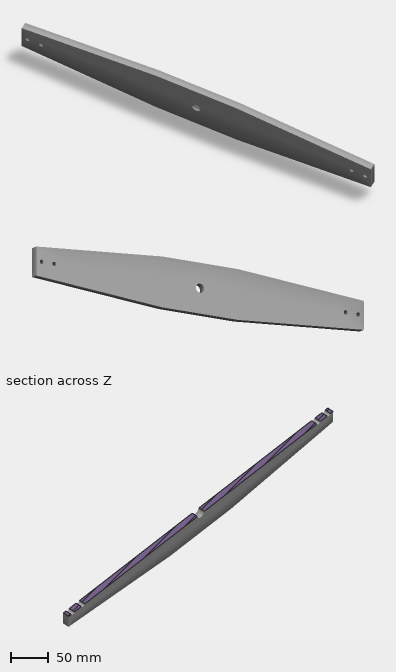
import cadquery as cq

thickness = 10.0
middle_height = 69.85
end_height = 39.9
middle_length = 120.0
overall_length = 518.88

pivot_diameter = 12.7
end_hole_diameter = 6.0
outer_hole_x = 250.8
end_hole_spacing = 20.0

half_middle_height = middle_height / 2
half_end_height = end_height / 2
half_middle_length = middle_length / 2
half_length = overall_length / 2

inner_hole_x = outer_hole_x - end_hole_spacing
end_hole_positions = [side * x for side in (-1, 1) for x in (inner_hole_x, outer_hole_x)]


def tapered_plate():
    """Flat bar in the XZ plane, parallel in the middle and tapering to both ends."""
    outline = [
        (-half_length, -half_end_height),
        (-half_middle_length, -half_middle_height),
        (half_middle_length, -half_middle_height),
        (half_length, -half_end_height),
        (half_length, half_end_height),
        (half_middle_length, half_middle_height),
        (-half_middle_length, half_middle_height),
        (-half_length, half_end_height),
    ]
    return cq.Workplane("XZ").polyline(outline).close().extrude(thickness / 2, both=True)


def through_holes(diameter, x_positions):
    """Cylinders along Y on the plate's long centre line, as long as the plate is thick."""
    centers = [(x, 0) for x in x_positions]
    return cq.Workplane("XZ").pushPoints(centers).circle(diameter / 2).extrude(thickness / 2, both=True)


result = tapered_plate()
result = result.cut(through_holes(pivot_diameter, [0]))
result = result.cut(through_holes(end_hole_diameter, end_hole_positions))